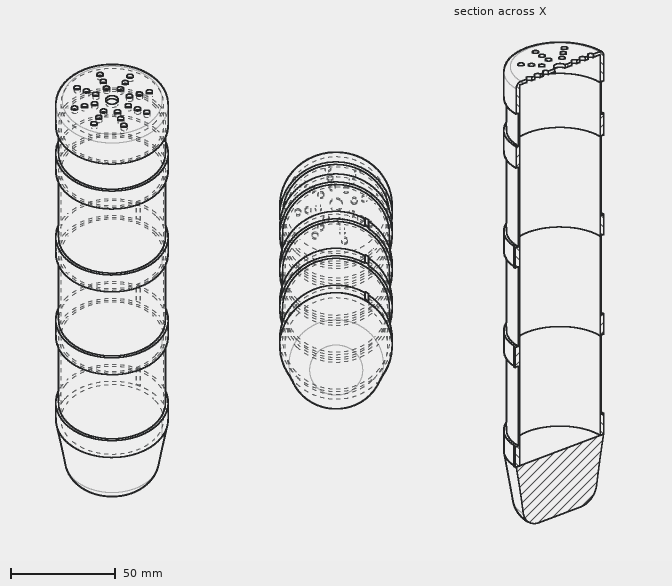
import cadquery as cq
import math

tube_diameter = 51.2
band_diameter = 53.8

rib_width = 2.0
rib_height = 0.5

bore_diameter = 49.0

total_length = 243.3
cap_length = 16.9
cap_plate_thickness = 2.0
neck_length = 17.6
head_band_length = 11.7
head_length = neck_length + head_band_length
segment_count = 3
segment_length = 54.0
segment_band_length = 11.0
tip_length = total_length - cap_length - head_length - segment_count * segment_length

cap_edge_radius = 3.0
tip_edge_radius = 10.0
tip_taper_angle = 9.2

center_hole_diameter = 6.0
vent_hole_diameter = 3.0
vent_spoke_count = 8
vent_hole_radii = [8.75, 13.75, 18.75]


def cylinder(diameter, bottom, length):
    """Upright cylinder about the Z axis."""
    return cq.Workplane("XY", origin=(0, 0, bottom)).circle(diameter / 2).extrude(length)


def make_tip():
    """Solid nose that narrows downward to a rounded end."""
    top_radius = band_diameter / 2
    end_radius = top_radius - tip_length * math.tan(math.radians(tip_taper_angle))
    profile = (
        cq.Workplane("XZ")
        .lineTo(end_radius, 0)
        .lineTo(top_radius, tip_length)
        .lineTo(0, tip_length)
        .close()
    )
    nose = profile.revolve(360, (0, 0, 0), (0, 1, 0))
    return nose.faces("<Z").edges().fillet(tip_edge_radius)


def make_banded_tube(bottom, length, band_length):
    """Open tube that carries a wider band at its lower end."""
    band = cylinder(band_diameter, bottom, band_length)
    tube = cylinder(tube_diameter, bottom, length)
    return band.union(tube).cut(cylinder(bore_diameter, bottom, length))


def make_segment(bottom):
    """Banded tube with a narrow upright rib on its band."""
    rib_root = tube_diameter / 2 - rib_height
    rib_tip = band_diameter / 2 + rib_height
    rib = cq.Workplane("XY", origin=(0, rib_root, bottom)).box(
        rib_width, rib_tip - rib_root, segment_band_length, centered=(True, False, False)
    )
    return make_banded_tube(bottom, segment_length, segment_band_length).union(rib)


def make_cap(bottom):
    """Hollow, round-edged cap with a center hole and spokes of small holes in its plate."""
    cap = cylinder(band_diameter, bottom, cap_length)
    cap = cap.faces(">Z").edges().fillet(cap_edge_radius)
    cap = cap.cut(cylinder(bore_diameter, bottom, cap_length - cap_plate_thickness))
    cap = cap.cut(cylinder(center_hole_diameter, bottom, cap_length))
    for radius in vent_hole_radii:
        vents = (
            cq.Workplane("XY", origin=(0, 0, bottom))
            .polarArray(radius, 0, 360, vent_spoke_count)
            .circle(vent_hole_diameter / 2)
            .extrude(cap_length)
        )
        cap = cap.cut(vents)
    return cap


tip = make_tip()

segments = []
for index in range(segment_count):
    segment_bottom = tip_length + index * segment_length
    segments.append(make_segment(segment_bottom))

head_bottom = tip_length + segment_count * segment_length
head = make_banded_tube(head_bottom, head_length, head_band_length)

cap = make_cap(head_bottom + head_length)

result = cq.Compound.makeCompound(
    [tip.val(), *[segment.val() for segment in segments], head.val(), cap.val()]
)